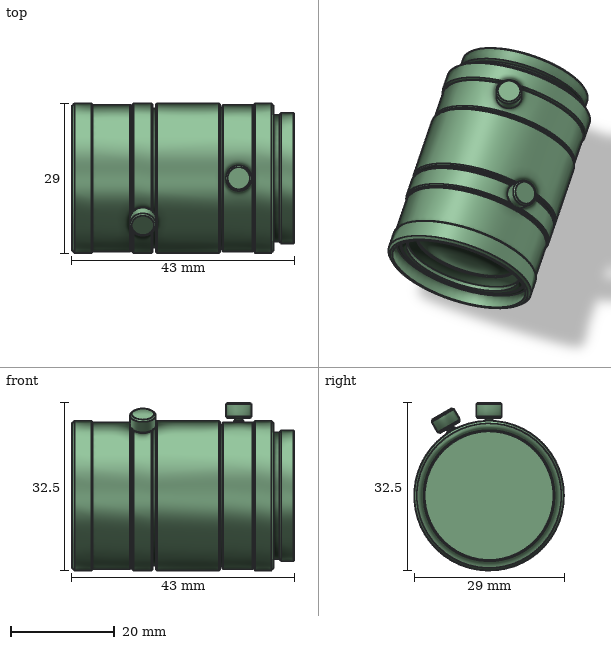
import cadquery as cq
import math

TOTAL_LENGTH = 43

RING_RADIUS = 14.5
BARREL_RADIUS = 14.25
FOCUS_GROOVE_RADIUS = 13.5
IRIS_GROOVE_RADIUS = 13.7
MOUNT_RADIUS = 12.7
MOUNT_NECK_RADIUS = 12.3

EDGE_CHAMFER = 0.25
END_CHAMFER = 0.5

FRONT_RING_END = 4.0
FRONT_BARREL_END = 11.5
FOCUS_RING_START = 11.7
FOCUS_RING_END = 15.6
GRIP_START = 16.2
GRIP_END = 28.65
IRIS_RING_START = 29.02
IRIS_RING_END = 35.15
REAR_RING_END = 39.0
MOUNT_START = 40.1

MOUTH_RADIUS = 13.45
MOUTH_DEPTH = 2.5
SLOT_OUTER_RADIUS = 12.73
SLOT_INNER_RADIUS = 12.45
SLOT_DEPTH = 0.25
CONE_RADIUS = 11.4
CONE_START = 3.35

LENS_RADIUS = 10.05
LENS_EDGE_X = 5.05
LENS_BULGE = 2.3
LENS_EDGE_THICKNESS = 1.7

KNOB_RADIUS = 2.5
KNOB_RISE = 3.75
KNOB_LENGTH = 3
KNOB_CHAMFER = 0.35
STEM_RADIUS = 0.75
FOOT_RADIUS = 1.0
FOOT_RISE = 0.35
ROOT_DEPTH = 1.3
KNOB_PLACES = [(13.7, RING_RADIUS, 30), (32.25, BARREL_RADIUS, 0)]


def revolve_about_x(outline):
    """Turn a closed outline of (X, radius) points about the optical axis."""
    return outline.revolve(360, (0, 0, 0), (1, 0, 0))


def section(start, end, radius, start_chamfer, end_chamfer):
    """Outline points of one outside section with a chamfer at each end."""
    return [
        (start, radius - start_chamfer),
        (start + start_chamfer, radius),
        (end - end_chamfer, radius),
        (end, radius - end_chamfer),
    ]


def barrel():
    """Outside of the housing, solid, from the front face to the mount face."""
    ring_step = RING_RADIUS - BARREL_RADIUS
    mount_step = MOUNT_RADIUS - MOUNT_NECK_RADIUS
    groove_radius = BARREL_RADIUS - EDGE_CHAMFER

    points = [(0, 0)]
    points += section(0, FRONT_RING_END, RING_RADIUS, END_CHAMFER, ring_step)
    points += [
        (FRONT_BARREL_END - EDGE_CHAMFER, BARREL_RADIUS),
        (FRONT_BARREL_END, groove_radius),
        (FOCUS_RING_START, groove_radius),
    ]
    points += section(FOCUS_RING_START, FOCUS_RING_END, RING_RADIUS, EDGE_CHAMFER, EDGE_CHAMFER)
    points += [(FOCUS_RING_END, FOCUS_GROOVE_RADIUS), (GRIP_START, FOCUS_GROOVE_RADIUS)]
    points += section(GRIP_START, GRIP_END, RING_RADIUS, EDGE_CHAMFER, EDGE_CHAMFER)
    points += [(GRIP_END, IRIS_GROOVE_RADIUS), (IRIS_RING_START, IRIS_GROOVE_RADIUS)]
    points += section(IRIS_RING_START, IRIS_RING_END, BARREL_RADIUS, EDGE_CHAMFER, EDGE_CHAMFER)
    points += [
        (IRIS_RING_END + EDGE_CHAMFER, RING_RADIUS),
        (REAR_RING_END - END_CHAMFER, RING_RADIUS),
        (REAR_RING_END, RING_RADIUS - END_CHAMFER),
    ]
    points += [(REAR_RING_END, MOUNT_NECK_RADIUS)]
    points += section(MOUNT_START, TOTAL_LENGTH, MOUNT_RADIUS, mount_step, EDGE_CHAMFER)
    points += [(TOTAL_LENGTH, 0)]
    return revolve_about_x(cq.Workplane("XY").polyline(points).close())


def front_opening():
    """Opening with a slot in its shelf and a 45 degree cone leading down to the lens seat."""
    cone_end = CONE_START + CONE_RADIUS - LENS_RADIUS
    slot_floor = MOUTH_DEPTH + SLOT_DEPTH
    seat_floor = LENS_EDGE_X + LENS_EDGE_THICKNESS
    points = [
        (0, 0),
        (0, MOUTH_RADIUS),
        (MOUTH_DEPTH, MOUTH_RADIUS),
        (MOUTH_DEPTH, SLOT_OUTER_RADIUS),
        (slot_floor, SLOT_OUTER_RADIUS),
        (slot_floor, SLOT_INNER_RADIUS),
        (MOUTH_DEPTH, SLOT_INNER_RADIUS),
        (MOUTH_DEPTH, CONE_RADIUS),
        (CONE_START, CONE_RADIUS),
        (cone_end, LENS_RADIUS),
        (seat_floor, LENS_RADIUS),
        (seat_floor, 0),
    ]
    return revolve_about_x(cq.Workplane("XY").polyline(points).close())


def locking_knob(x, ring_radius, lean):
    """Chamfered knob on a thin stem, its foot sunk into the ring."""
    root = ring_radius - ROOT_DEPTH
    foot_top = ring_radius + FOOT_RISE
    knob_top = ring_radius + KNOB_RISE
    knob_bottom = knob_top - KNOB_LENGTH
    foot_chamfer = FOOT_RADIUS - STEM_RADIUS
    points = [
        (0, root),
        (FOOT_RADIUS, root),
        (FOOT_RADIUS, foot_top - foot_chamfer),
        (STEM_RADIUS, foot_top),
        (STEM_RADIUS, knob_bottom),
        (KNOB_RADIUS - KNOB_CHAMFER, knob_bottom),
        (KNOB_RADIUS, knob_bottom + KNOB_CHAMFER),
        (KNOB_RADIUS, knob_top - KNOB_CHAMFER),
        (KNOB_RADIUS - KNOB_CHAMFER, knob_top),
        (0, knob_top),
    ]
    upright = cq.Workplane("XZ").polyline(points).close().revolve(360, (0, 0, 0), (0, 1, 0))
    return upright.rotate((0, 0, 0), (1, 0, 0), lean).translate((x, 0, 0))


def make_housing():
    body = barrel().cut(front_opening())
    for x, ring_radius, lean in KNOB_PLACES:
        body = body.union(locking_knob(x, ring_radius, lean))
    return body


def make_lens():
    """Plano-convex lens filling its seat in the housing."""
    dome_radius = (LENS_RADIUS**2 + LENS_BULGE**2) / (2 * LENS_BULGE)
    apex_x = LENS_EDGE_X - LENS_BULGE
    half_angle = math.asin(LENS_RADIUS / dome_radius) / 2
    dome_middle = (
        apex_x + dome_radius * (1 - math.cos(half_angle)),
        dome_radius * math.sin(half_angle),
    )
    back_x = LENS_EDGE_X + LENS_EDGE_THICKNESS
    outline = (
        cq.Workplane("XY")
        .moveTo(apex_x, 0)
        .threePointArc(dome_middle, (LENS_EDGE_X, LENS_RADIUS))
        .lineTo(back_x, LENS_RADIUS)
        .lineTo(back_x, 0)
        .close()
    )
    return revolve_about_x(outline)


housing = make_housing()
lens = make_lens()

result = cq.Compound.makeCompound([housing.val(), lens.val()])